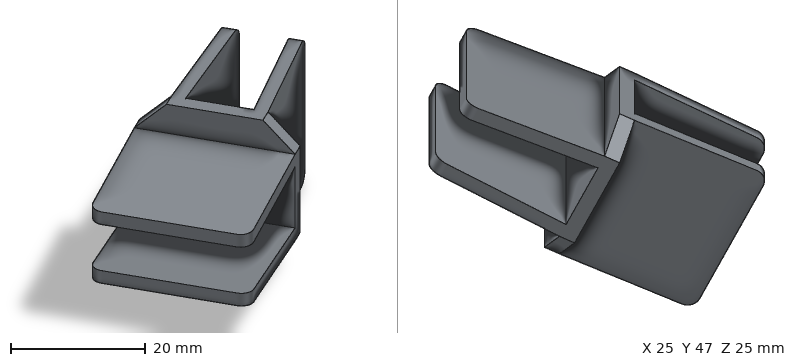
import cadquery as cq

width = 25.0
length = 47.0

plate_thickness = 2.5
corner_cut = 5.0

prong_thickness = 2.2
prong_lean = 1.3
tip_corner_radius = 2.0

half_plate = plate_thickness / 2
prong_length = (length - plate_thickness) / 2
root_outer = width / 2 - corner_cut
root_inner = root_outer - prong_thickness
tip_outer = root_outer - prong_lean
tip_inner = tip_outer - prong_thickness


def central_plate():
    """Octagonal plate centred on the origin, thin along Y."""
    return cq.Workplane("XY").box(width, plate_thickness, width).edges("|Y").chamfer(corner_cut)


def prong():
    """Upper prong of the -Y fork, with its two tip corners rounded."""
    root_y = -half_plate
    tip_y = root_y - prong_length
    side_profile = [
        (half_plate, root_inner),
        (root_y, root_inner),
        (tip_y, tip_inner),
        (tip_y, tip_outer),
        (root_y, root_outer),
        (half_plate, root_outer),
    ]
    blank = cq.Workplane("YZ").polyline(side_profile).close().extrude(width / 2, both=True)
    return blank.faces("<Y").edges("|Z").fillet(tip_corner_radius)


def fork():
    """Pair of prongs on the -Y side, above and below the middle plane."""
    upper = prong()
    return upper.union(upper.mirror("XY"))


def opposite_fork():
    """The same fork on the +Y side, a quarter turn round the Y axis."""
    return fork().mirror("XZ").rotate((0, 0, 0), (0, 1, 0), 90)


result = central_plate().union(fork()).union(opposite_fork()).clean()